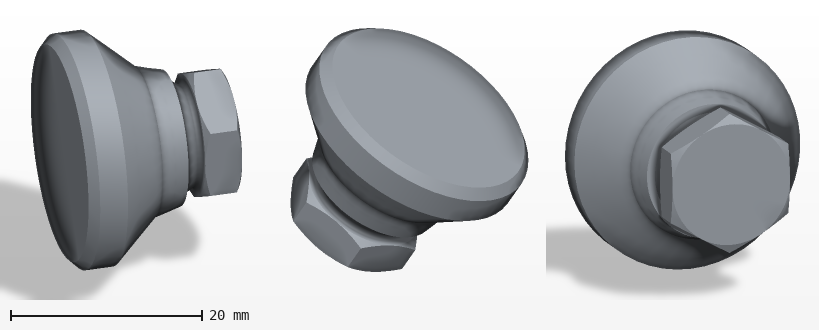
import cadquery as cq
import math

SOLE_CHAMFER = 1.0
RIM_TOP = 4.0
FLARE_TOP = 9.0
COLLAR_TOP = 12.0
HEX_BOTTOM = 14.0
HEX_HEIGHT = 4.0

RIM_RADIUS = 25.0 / 2
COLLAR_TOP_RADIUS = 14.5 / 2
COLLAR_TAPER = math.radians(15)
COLLAR_BASE_RADIUS = COLLAR_TOP_RADIUS + (COLLAR_TOP - FLARE_TOP) * math.tan(COLLAR_TAPER)

NECK_MIN_RADIUS = 5.5
NECK_TAPER = math.radians(30)
GROOVE_RADIUS = 0.4

HEX_FLATS = 13.0
HEX_CORNER_RADIUS = HEX_FLATS / math.sqrt(3)
HEX_CHAMFER_ANGLE = math.radians(30)


def revolve_about_y(profile):
    """Turn a radius/height profile in the XY plane into a solid of revolution."""
    return profile.close().revolve(360, (0, 0, 0), (0, 1, 0))


def make_foot():
    """Round foot: chamfered rim, wide flare and tapered collar."""
    profile = (
        cq.Workplane("XY")
        .lineTo(RIM_RADIUS - SOLE_CHAMFER, 0)
        .lineTo(RIM_RADIUS, SOLE_CHAMFER)
        .lineTo(RIM_RADIUS, RIM_TOP)
        .lineTo(COLLAR_BASE_RADIUS, FLARE_TOP)
        .lineTo(COLLAR_TOP_RADIUS, COLLAR_TOP)
        .lineTo(0, COLLAR_TOP)
    )
    return revolve_about_y(profile)


def make_neck():
    """Cone narrowing away from the collar, ending in the undercut groove."""
    centre_radius = NECK_MIN_RADIUS + GROOVE_RADIUS
    centre_level = HEX_BOTTOM - GROOVE_RADIUS
    tangent_radius = centre_radius - GROOVE_RADIUS * math.cos(NECK_TAPER)
    tangent_level = centre_level - GROOVE_RADIUS * math.sin(NECK_TAPER)
    base_radius = tangent_radius + (tangent_level - COLLAR_TOP) * math.tan(NECK_TAPER)
    profile = (
        cq.Workplane("XY")
        .moveTo(0, COLLAR_TOP)
        .lineTo(base_radius, COLLAR_TOP)
        .lineTo(tangent_radius, tangent_level)
        .threePointArc((NECK_MIN_RADIUS, centre_level), (centre_radius, HEX_BOTTOM))
        .lineTo(0, HEX_BOTTOM)
    )
    return revolve_about_y(profile)


def make_hexagon():
    """Hexagon with flats facing +/-X and corners on +/-Z, chamfered at both ends."""
    corner_angles = [math.radians(angle) for angle in range(0, 360, 60)]
    corners = [
        (HEX_CORNER_RADIUS * math.sin(angle), HEX_CORNER_RADIUS * math.cos(angle))
        for angle in corner_angles
    ]
    hex_top = HEX_BOTTOM + HEX_HEIGHT
    prism = (
        cq.Workplane("XZ", origin=(0, hex_top, 0))
        .polyline(corners)
        .close()
        .extrude(HEX_HEIGHT)
    )
    end_radius = HEX_FLATS / 2
    chamfer_drop = (HEX_CORNER_RADIUS - end_radius) * math.tan(HEX_CHAMFER_ANGLE)
    envelope = (
        cq.Workplane("XY")
        .moveTo(0, HEX_BOTTOM)
        .lineTo(end_radius, HEX_BOTTOM)
        .lineTo(HEX_CORNER_RADIUS, HEX_BOTTOM + chamfer_drop)
        .lineTo(HEX_CORNER_RADIUS, hex_top - chamfer_drop)
        .lineTo(end_radius, hex_top)
        .lineTo(0, hex_top)
    )
    return prism.intersect(revolve_about_y(envelope))


result = make_foot().union(make_neck()).union(make_hexagon())